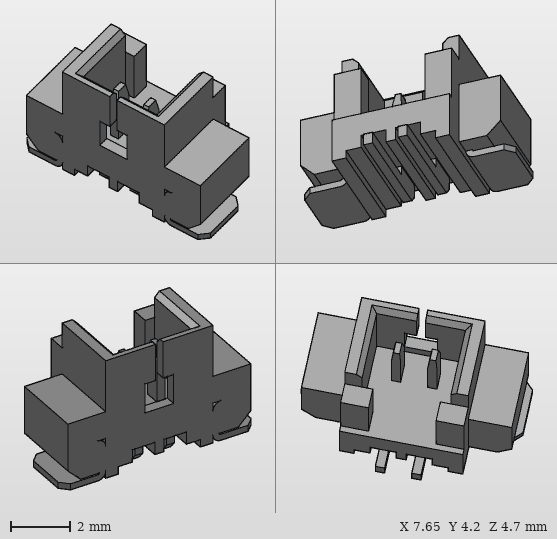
import cadquery as cq


body_width = 4.25
body_depth = 3.7
body_height = 4.7
ledge_height = 1.69
post_back = 3.5
post_height = 3.7
post_width = 0.965
wall_depth = 2.8

cavity_width = 3.06
front_wall = 0.4
rim_chamfer = 0.2

slot_width = 0.3
window_width = 1.13
window_bottom = 2.095
window_top = 3.25

standoff = 0.3
foot_width = 0.505
notch_top = 0.79
notch_span = 2.14
center_tab_width = 0.35

wing_span = 7.25
wing_height = 2.66
wing_chamfer = 0.5

pin_pitch = 1.255
pin_width = 0.32
pin_front = 0.925
pin_thickness = 0.605
pin_top = 3.87
pin_taper_height = 0.5
pin_tip_width = 0.21
pin_tip_thickness = 0.4
tail_end = 4.2
tail_height = 0.44
heel_front = 0.3
heel_slope_run = 0.25
heel_slope_rise = 0.3

tab_span = 7.65
tab_depth = 2.2
tab_thickness = 0.245
tab_height = 1.59
tab_hook_length = 0.795
tab_bend_radius = 0.06
tab_corner_chamfer = 0.305


def block(width, y_front, y_back, z_bottom, z_top):
    """Box centred on X = 0 between the given Y and Z limits."""
    depth = y_back - y_front
    height = z_top - z_bottom
    return cq.Workplane("XY").box(width, depth, height, (True, False, False)).translate((0, y_front, z_bottom))


def both_sides(shape):
    """The shape together with its mirror image about X = 0."""
    return shape.union(shape.mirror("YZ"))


def make_shell():
    """Stepped outer block with the two wings."""
    shell = block(body_width, 0, body_depth, 0, ledge_height)
    shell = shell.union(block(body_width, 0, post_back, 0, post_height))
    shell = shell.union(block(body_width, 0, wall_depth, 0, body_height))
    wings = block(wing_span, 0, wall_depth, standoff, wing_height)
    wings = wings.faces("<Z").edges("|Y").chamfer(wing_chamfer)
    return shell.union(wings)


def make_cavity():
    """Open-backed cavity with a chamfered rim, narrowed between the posts."""
    main = block(cavity_width, front_wall, wall_depth, ledge_height, body_height)
    rear_width = body_width - 2 * post_width
    rear = block(rear_width, wall_depth, body_depth, ledge_height, body_height)

    rim_start = body_height - rim_chamfer
    rim = (
        cq.Workplane("XY")
        .workplane(offset=rim_start)
        .center(0, (front_wall + body_depth) / 2)
        .rect(cavity_width, body_depth - front_wall)
        .workplane(offset=rim_chamfer)
        .rect(cavity_width + 2 * rim_chamfer, body_depth - front_wall + 2 * rim_chamfer)
        .loft(ruled=True)
    )
    return main.union(rear).union(rim)


def make_front_opening():
    """Latch window and the key slot that runs up from it."""
    window = block(window_width, 0, front_wall, window_bottom, window_top)
    slot = block(slot_width, 0, front_wall, window_bottom, body_height)
    return window.union(slot)


def make_underside_cut():
    """Standoff recess between the feet, with a deeper notch around each pin."""
    recess = block(body_width - 2 * foot_width, 0, body_depth, 0, standoff)
    notches = block(notch_span, 0, body_depth, 0, notch_top)
    center_tab = block(center_tab_width, 0, body_depth, standoff, notch_top)
    return recess.union(notches.cut(center_tab))


def make_pin():
    """L-shaped pin: tapered blade up into the cavity, heel forward, tail out to the rear."""
    pin_back = pin_front + pin_thickness
    taper_start = pin_top - pin_taper_height
    lower = (
        cq.Workplane("YZ")
        .moveTo(heel_front + heel_slope_run, 0)
        .lineTo(tail_end, 0)
        .lineTo(tail_end, tail_height)
        .lineTo(pin_back, tail_height)
        .lineTo(pin_back, taper_start)
        .lineTo(pin_front, taper_start)
        .lineTo(pin_front, notch_top)
        .lineTo(heel_front, notch_top)
        .lineTo(heel_front, heel_slope_rise)
        .close()
        .extrude(pin_width / 2, both=True)
    )
    tip = (
        cq.Workplane("XY")
        .workplane(offset=taper_start)
        .center(0, pin_front + pin_thickness / 2)
        .rect(pin_width, pin_thickness)
        .workplane(offset=pin_taper_height)
        .rect(pin_tip_width, pin_tip_thickness)
        .loft(ruled=True)
    )
    return lower.union(tip)


def make_tab():
    """C-shaped tab on the +X side, bent from strip, with a chamfered solder foot."""
    inner_x = body_width / 2
    web_x = inner_x + tab_thickness
    hook_x = inner_x + tab_hook_length
    foot_x = tab_span / 2
    hook_bottom = tab_height - tab_thickness
    tab = (
        cq.Workplane("XZ")
        .moveTo(inner_x, 0)
        .lineTo(foot_x, 0)
        .lineTo(foot_x, tab_thickness)
        .lineTo(web_x, tab_thickness)
        .lineTo(web_x, hook_bottom)
        .lineTo(hook_x, hook_bottom)
        .lineTo(hook_x, tab_height)
        .lineTo(inner_x, tab_height)
        .close()
        .extrude(-tab_depth)
    )
    margin = tab_thickness / 2
    inner_bends = cq.selectors.BoxSelector(
        (web_x - margin, -margin, margin), (web_x + margin, tab_depth + margin, tab_height - margin)
    )
    tab = tab.edges("|Y").edges(inner_bends).fillet(tab_bend_radius)
    tab = tab.faces("<X").edges("|Y").fillet(tab_bend_radius + tab_thickness)
    return tab.faces(">X").edges("|Z").chamfer(tab_corner_chamfer)


def make_tab_seat():
    """Square-cornered clearance in the housing around the upper bend of the +X tab."""
    bend = tab_bend_radius + tab_thickness
    inner_x = body_width / 2
    seat = block(bend, 0, tab_depth, tab_height - bend, tab_height)
    seat = seat.translate((inner_x + bend / 2, 0, 0))
    inner_corner = block(tab_bend_radius, 0, tab_depth, tab_height - bend, tab_height - tab_thickness)
    inner_corner = inner_corner.translate((inner_x + tab_thickness + tab_bend_radius / 2, 0, 0))
    return seat.cut(inner_corner)


housing = make_shell()
housing = housing.cut(make_cavity())
housing = housing.cut(make_front_opening())
housing = housing.cut(make_underside_cut())
housing = housing.cut(both_sides(make_tab_seat()))

pin = make_pin().translate((pin_pitch / 2, 0, 0))
result = housing.union(both_sides(pin)).union(both_sides(make_tab()))